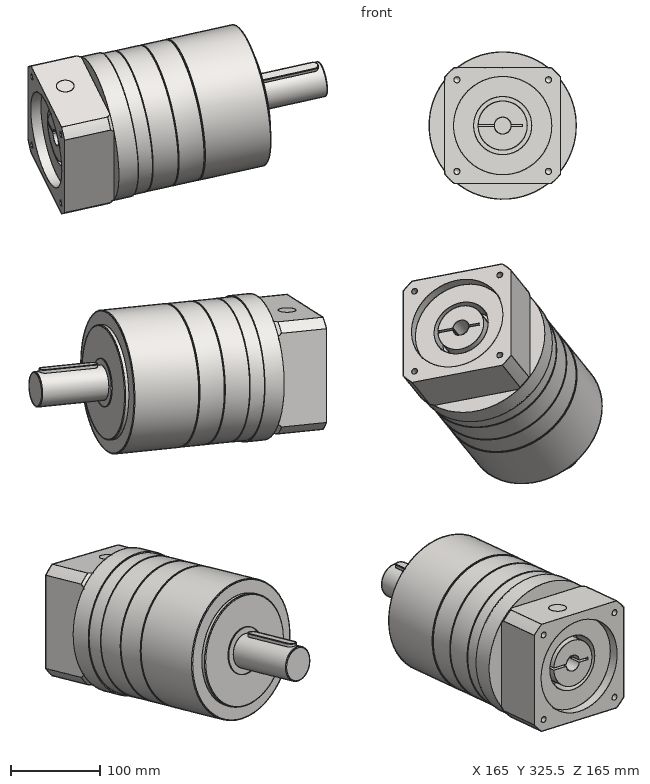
import cadquery as cq
import math

square_length = 58.3
flange_length = 23.0
collar_length = 17.3
stage_length = 30.5
ring_length = 2 * stage_length
housing_length = 78.8
pilot_length = 5.0
shoulder_length = 1.3
total_length = 325.5

flange_start = square_length
collar_start = flange_start + flange_length
ring_start = collar_start + collar_length
housing_start = ring_start + ring_length
pilot_start = housing_start + housing_length
shoulder_start = pilot_start + pilot_length
shaft_start = shoulder_start + shoulder_length
shaft_length = total_length - shaft_start

flange_diameter = 165.0
body_diameter = 162.0
ring_diameter = 161.8
pilot_diameter = 130.0
shoulder_diameter = 54.7
shaft_diameter = 40.0
edge_chamfer = 1.0
joint_chamfer = 0.5

square_width = 130.0
corner_diameter = 169.3
corner_cone_length = 4.0
bolt_spacing = 102.5
bolt_hole_diameter = 6.8
bolt_hole_depth = 19.5
drill_tip_angle = 118.0
centering_diameter = 110.0
centering_depth = 12.0
hub_bore_diameter = 65.0
hub_bore_depth = 39.0

hub_diameter = 55.0
hub_recess = 11.0
hub_hole_diameter = 19.0
hub_hole_depth = 26.0
slot_width = 2.5
slot_reach = 22.0
slot_depth = 16.3

plug_diameter = 20.0
plug_x = -10.0
plug_y = 25.7
plug_length = 6.5

key_width = 12.0
key_length = 70.0
key_height = 8.0
key_seat_depth = 5.0
key_end_gap = 5.0
key_chamfer = 0.5


def cylinder(start, length, diameter):
    """Cylinder on the gearbox axis, running in +Y from start."""
    plane = cq.Workplane("XZ", origin=(0, start, 0))
    return plane.circle(diameter / 2).extrude(-length)


def make_key_blank():
    """Round-ended key with sharp edges, also used to cut its seat in the shaft."""
    center_y = total_length - key_end_gap - key_length / 2
    seat_z = shaft_diameter / 2 - key_seat_depth
    plane = cq.Workplane("XY", origin=(0, center_y, seat_z))
    return plane.slot2D(key_length, key_width, 90).extrude(key_height)


def make_key():
    """Key with chamfered top edges."""
    return make_key_blank().faces(">Z").chamfer(key_chamfer)


def make_housing():
    """Output housing with pilot, shoulder and keyed shaft."""
    housing = cylinder(housing_start, housing_length, body_diameter)
    housing = housing.faces(">Y or <Y").chamfer(edge_chamfer)
    pilot = cylinder(pilot_start, pilot_length, pilot_diameter).faces(">Y").chamfer(edge_chamfer)
    shoulder = cylinder(shoulder_start, shoulder_length, shoulder_diameter)
    shaft = cylinder(shaft_start, shaft_length, shaft_diameter).faces(">Y").chamfer(edge_chamfer)
    return housing.union(pilot).union(shoulder).union(shaft).cut(make_key_blank())


def make_ring():
    """Ring gear casing with chamfered ends and a V-groove between its two stages."""
    groove_center = ring_start + stage_length
    outer_radius = ring_diameter / 2
    ring = cylinder(ring_start, ring_length, ring_diameter).faces(">Y or <Y").chamfer(joint_chamfer)
    groove = (
        cq.Workplane("XY")
        .moveTo(outer_radius, groove_center - joint_chamfer)
        .lineTo(outer_radius, groove_center + joint_chamfer)
        .lineTo(outer_radius - joint_chamfer, groove_center)
        .close()
        .revolve(360, (0, 0, 0), (0, 1, 0))
    )
    return ring.cut(groove)


def make_plug():
    """Plug flush with the top of the square block."""
    plane = cq.Workplane("XY", origin=(plug_x, plug_y, square_width / 2))
    return plane.circle(plug_diameter / 2).extrude(-plug_length)


def make_square():
    """Square block whose corners follow a cylinder that tapers to the round flange."""
    block = cq.Workplane("XY").box(square_width, square_length, square_width)
    block = block.translate((0, square_length / 2, 0))
    corner_radius = corner_diameter / 2
    envelope = (
        cq.Workplane("XY")
        .moveTo(0, 0)
        .lineTo(corner_radius, 0)
        .lineTo(corner_radius, square_length - corner_cone_length)
        .lineTo(flange_diameter / 2, square_length)
        .lineTo(0, square_length)
        .close()
        .revolve(360, (0, 0, 0), (0, 1, 0))
    )
    return block.intersect(envelope)


def make_bolt_hole():
    """Blind drilled hole with a conical tip, running in +Y from the origin."""
    radius = bolt_hole_diameter / 2
    tip_length = radius / math.tan(math.radians(drill_tip_angle / 2))
    return (
        cq.Workplane("XY")
        .lineTo(radius, 0)
        .lineTo(radius, bolt_hole_depth)
        .lineTo(0, bolt_hole_depth + tip_length)
        .close()
        .revolve(360, (0, 0, 0), (0, 1, 0))
    )


def make_adapter():
    """Motor adapter: square flange, round flange and collar, bored for the motor and the hub."""
    flange = cylinder(flange_start, flange_length, flange_diameter)
    collar = cylinder(collar_start, collar_length, body_diameter)
    adapter = make_square().union(flange).union(collar)
    adapter = adapter.cut(cylinder(0, centering_depth, centering_diameter))
    adapter = adapter.cut(cylinder(0, hub_bore_depth, hub_bore_diameter))
    for x_side in (-1, 1):
        for z_side in (-1, 1):
            position = (x_side * bolt_spacing / 2, 0, z_side * bolt_spacing / 2)
            adapter = adapter.cut(make_bolt_hole().translate(position))
    return adapter.cut(make_plug())


def make_hub():
    """Clamping hub with a blind motor shaft hole and a clamping slot open at -X."""
    hub = cylinder(hub_recess, hub_bore_depth - hub_recess, hub_diameter)
    hub = hub.cut(cylinder(hub_recess, hub_hole_depth, hub_hole_diameter))
    slot_length = hub_diameter / 2 + slot_reach
    slot = cq.Workplane("XY").box(slot_length, slot_depth, slot_width)
    slot = slot.translate((slot_reach - slot_length / 2, hub_recess + slot_depth / 2, 0))
    return hub.cut(slot)


adapter = make_adapter()
hub = make_hub()
plug = make_plug()
ring = make_ring()
housing = make_housing()
key = make_key()

result = cq.Compound.makeCompound(
    [adapter.val(), hub.val(), plug.val(), ring.val(), housing.val(), key.val()]
)